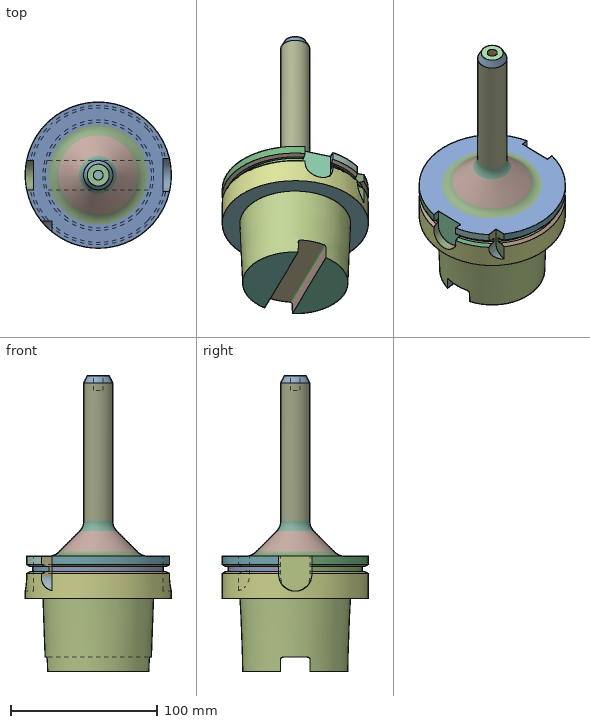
import cadquery as cq
import math

total_height = 202.5
shank_diameter = 20.0
shank_radius = shank_diameter / 2
tip_radius = 7.5
tip_height = 5.0
tip_hole_diameter = 6.7
tip_hole_depth = 10.1

flange_radius = 100.0 / 2
flange_bottom = 50.0
flange_top = 79.0
groove_radius = 46.0
groove_top = 73.3
groove_bottom = 67.0
groove_lip_radius = 47.5
groove_lip_height = 1.52

blend_radius = 10.0
cone_foot_radius = 34.0

taper_top_radius = 37.8
taper_bottom_radius = 36.0
drive_slot_width = 20.0
drive_slot_height = 10.0
drive_slot_fillet = 1.8

notch_bottom = 55.0
notch_floor = 44.1
left_notch_width = 20.0
right_notch_width = 22.7
corner_notch_width = 20.0
corner_notch_floor = 31.5
corner_notch_edge = -31.4


def make_body():
    """Revolve the complete outer profile around Z."""
    sin45 = math.sin(math.pi / 4)
    blend_sag = blend_radius * (1 - sin45)
    blend_run = blend_radius * sin45
    sin_half = math.sin(math.pi / 8)
    cos_half = math.cos(math.pi / 8)

    cone_low_r = cone_foot_radius - blend_run
    cone_low_z = flange_top + blend_sag
    cone_high_r = shank_radius + blend_sag
    cone_high_z = cone_low_z + cone_low_r - cone_high_r
    neck_top = cone_high_z + blend_run
    foot_mid = (
        cone_foot_radius - blend_radius * sin_half,
        flange_top + blend_radius * (1 - cos_half),
    )
    neck_mid = (
        shank_radius + blend_radius * (1 - cos_half),
        neck_top - blend_radius * sin_half,
    )

    profile = (
        cq.Workplane("XZ")
        .moveTo(0, 0)
        .lineTo(taper_bottom_radius, 0)
        .lineTo(taper_top_radius, flange_bottom)
        .lineTo(flange_radius, flange_bottom)
        .lineTo(flange_radius, groove_bottom)
        .lineTo(groove_lip_radius, groove_bottom + groove_lip_height)
        .lineTo(groove_radius, groove_bottom + groove_lip_height)
        .lineTo(groove_radius, groove_top - groove_lip_height)
        .lineTo(groove_lip_radius, groove_top - groove_lip_height)
        .lineTo(flange_radius, groove_top)
        .lineTo(flange_radius, flange_top)
        .lineTo(cone_foot_radius, flange_top)
        .threePointArc(foot_mid, (cone_low_r, cone_low_z))
        .lineTo(cone_high_r, cone_high_z)
        .threePointArc(neck_mid, (shank_radius, neck_top))
        .lineTo(shank_radius, total_height - tip_height)
        .lineTo(tip_radius, total_height)
        .lineTo(0, total_height)
        .close()
    )
    return profile.revolve(360, (0, 0), (0, 1))


def make_notch(width, center_y, floor_x, side):
    """Cutter with a round bottom, reaching outward from floor_x; side is -1 for -X, +1 for +X."""
    radius = width / 2
    round_center = notch_bottom + radius
    return (
        cq.Workplane("YZ", origin=(side * floor_x, center_y, 0))
        .moveTo(-radius, flange_top)
        .lineTo(-radius, round_center)
        .threePointArc((0, notch_bottom), (radius, round_center))
        .lineTo(radius, flange_top)
        .close()
        .extrude(side * flange_radius)
    )


def make_drive_slot():
    """Cutter for the slot across the spigot end, with rounded upper corners."""
    return (
        cq.Workplane("XY")
        .box(2 * flange_radius, drive_slot_width, drive_slot_height, centered=(True, True, False))
        .edges("|X and >Z")
        .fillet(drive_slot_fillet)
    )


def make_tip_hole():
    """Cutter for the blind hole in the shank tip."""
    return (
        cq.Workplane("XY", origin=(0, 0, total_height - tip_hole_depth))
        .circle(tip_hole_diameter / 2)
        .extrude(tip_hole_depth)
    )


corner_notch_y = corner_notch_edge - corner_notch_width / 2

result = (
    make_body()
    .cut(make_notch(left_notch_width, 0, notch_floor, -1))
    .cut(make_notch(right_notch_width, 0, notch_floor, 1))
    .cut(make_notch(corner_notch_width, corner_notch_y, corner_notch_floor, -1))
    .cut(make_drive_slot())
    .cut(make_tip_hole())
)